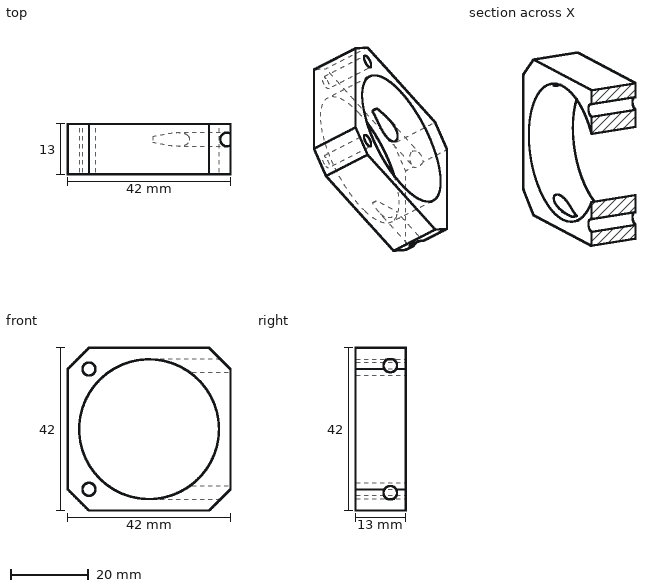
import cadquery as cq

frame_size = 42.0
frame_depth = 13.0
corner_chamfer = 5.5
bore_diameter = 36.0

mount_hole_diameter = 3.3
mount_hole_offset = 15.5

side_hole_diameter = 3.5
side_hole_height = 16.4
side_hole_from_back = 4.0
side_hole_end_x = 1.0

half_size = frame_size / 2
back_y = frame_depth / 2


def make_frame():
    """Square block with four chamfered corners and a round bore along Y."""
    block = cq.Workplane("XY").box(frame_size, frame_depth, frame_size)
    block = block.edges("|Y").chamfer(corner_chamfer)
    bore = cq.Workplane("XZ").circle(bore_diameter / 2).extrude(back_y, both=True)
    return block.cut(bore)


def make_mount_hole(side):
    """Through hole along Y near the -X edge; side is +1 (upper) or -1 (lower)."""
    return (
        cq.Workplane("XZ")
        .center(-mount_hole_offset, side * mount_hole_offset)
        .circle(mount_hole_diameter / 2)
        .extrude(back_y, both=True)
    )


def make_side_hole(side):
    """Hole along X from the +X side, breaking into the bore; side is +1 (upper) or -1 (lower)."""
    return (
        cq.Workplane("YZ", origin=(side_hole_end_x, 0, 0))
        .center(back_y - side_hole_from_back, side * side_hole_height)
        .circle(side_hole_diameter / 2)
        .extrude(half_size - side_hole_end_x)
    )


result = make_frame()
for side in (1, -1):
    result = result.cut(make_mount_hole(side))
    result = result.cut(make_side_hole(side))